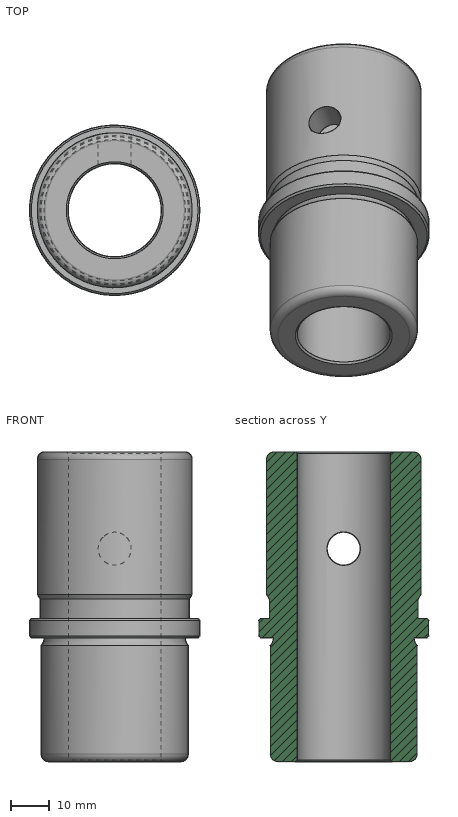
import cadquery as cq
import math

total_height = 80.0
collar_bottom = 32.0
collar_height = 5.0
collar_top = collar_bottom + collar_height
neck_height = 5.0
neck_top = collar_top + neck_height
undercut_height = 2.0

upper_radius = 40.0 / 2
lower_radius = 38.0 / 2
neck_radius = 38.6 / 2
collar_radius = 44.0 / 2
bore_radius = 24.0 / 2
undercut_depth = 0.75

end_round = 2.0
collar_chamfer = 0.5
bore_chamfer = 0.5
shoulder_angle = 30.0
shoulder_height = (upper_radius - neck_radius) / math.tan(math.radians(shoulder_angle))

side_hole_radius = 8.5 / 2
side_hole_z = 55.0


def make_body():
    """Solid of revolution: lower shank, undercut, collar, neck and upper barrel."""
    undercut_bottom = collar_bottom - undercut_height
    undercut_radius = lower_radius - undercut_depth
    arc_radius = (undercut_height**2 + undercut_depth**2) / (2 * undercut_depth)
    arc_mid_rise = undercut_height / 2
    arc_mid_radius = undercut_radius + arc_radius - math.sqrt(arc_radius**2 - arc_mid_rise**2)
    corner_inset = end_round * (1 - math.sqrt(0.5))

    profile = (
        cq.Workplane("XZ")
        .moveTo(0, 0)
        .lineTo(lower_radius - end_round, 0)
        .threePointArc((lower_radius - corner_inset, corner_inset), (lower_radius, end_round))
        .lineTo(lower_radius, undercut_bottom)
        .threePointArc(
            (arc_mid_radius, collar_bottom - arc_mid_rise),
            (undercut_radius, collar_bottom),
        )
        .lineTo(collar_radius - collar_chamfer, collar_bottom)
        .lineTo(collar_radius, collar_bottom + collar_chamfer)
        .lineTo(collar_radius, collar_top - collar_chamfer)
        .lineTo(collar_radius - collar_chamfer, collar_top)
        .lineTo(neck_radius, collar_top)
        .lineTo(neck_radius, neck_top)
        .lineTo(upper_radius, neck_top + shoulder_height)
        .lineTo(upper_radius, total_height - end_round)
        .threePointArc(
            (upper_radius - corner_inset, total_height - corner_inset),
            (upper_radius - end_round, total_height),
        )
        .lineTo(0, total_height)
        .close()
    )
    return profile.revolve(360, (0, 0, 0), (0, 1, 0))


def cut_bore(body):
    """Through bore with a small chamfer at the mouth of each end."""
    bored = body.cut(cq.Workplane("XY").circle(bore_radius).extrude(total_height))
    bore_edges = cq.selectors.RadiusNthSelector(0)
    return bored.faces("<Z or >Z").edges(bore_edges).chamfer(bore_chamfer)


def cut_side_hole(body):
    """Round hole from the bore out through the +Y wall of the upper barrel."""
    hole = (
        cq.Workplane("XZ")
        .center(0, side_hole_z)
        .circle(side_hole_radius)
        .extrude(-collar_radius)
    )
    return body.cut(hole)


result = cut_side_hole(cut_bore(make_body()))